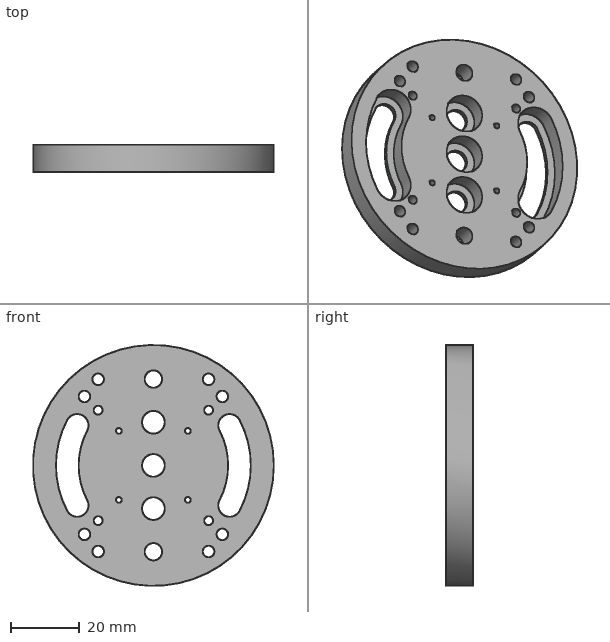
import cadquery as cq
import math

plate_diameter = 70
plate_thickness = 8.0

mouth_width = 6.5
bore_width = 11.0
mouth_depth = 1.5

slot_radius = 25.0
slot_half_angle = 27.7

centre_pitch = 12.5
locating_diameter = 5.0
locating_height = 2 * centre_pitch

quadrant_holes = [
    (3.3, 16.0, 25.0),
    (3.3, 20.0, 20.0),
    (2.5, 16.0, 16.0),
    (1.6, 10.0, 10.0),
]


def cylinder(diameter, x, z, start, length):
    """Cylinder along +Y, beginning at Y = start."""
    plane = cq.Plane(origin=(x, start, z), xDir=(1, 0, 0), normal=(0, 1, 0))
    return cq.Workplane(plane).circle(diameter / 2).extrude(length)


def curved_slot(width, start, length, side):
    """Round-ended arc slot; side is 1 for +X and -1 for -X."""
    def arc_point(radius, angle):
        a = math.radians(angle)
        return (side * radius * math.cos(a), radius * math.sin(a))

    inner = slot_radius - width / 2
    outer = slot_radius + width / 2
    cap_angle = math.degrees(2 * math.asin(width / 4 / slot_radius))
    profile = (
        cq.Workplane("XZ", origin=(0, start, 0))
        .moveTo(*arc_point(outer, -slot_half_angle))
        .threePointArc(arc_point(outer, 0), arc_point(outer, slot_half_angle))
        .threePointArc(
            arc_point(slot_radius, slot_half_angle + cap_angle),
            arc_point(inner, slot_half_angle),
        )
        .threePointArc(arc_point(inner, 0), arc_point(inner, -slot_half_angle))
        .threePointArc(
            arc_point(slot_radius, -slot_half_angle - cap_angle),
            arc_point(outer, -slot_half_angle),
        )
        .close()
    )
    return profile.extrude(-length)


result = cylinder(plate_diameter, 0, 0, 0, plate_thickness)

bore_depth = plate_thickness - mouth_depth
opening_steps = [
    (mouth_width, 0, mouth_depth),
    (bore_width, mouth_depth, bore_depth),
]
for width, start, length in opening_steps:
    for z in (-centre_pitch, 0, centre_pitch):
        result = result.cut(cylinder(width, 0, z, start, length))
    for side in (-1, 1):
        result = result.cut(curved_slot(width, start, length, side))

for z in (-locating_height, locating_height):
    result = result.cut(cylinder(locating_diameter, 0, z, 0, plate_thickness))

for diameter, x, z in quadrant_holes:
    for side_x in (-1, 1):
        for side_z in (-1, 1):
            result = result.cut(cylinder(diameter, side_x * x, side_z * z, 0, plate_thickness))